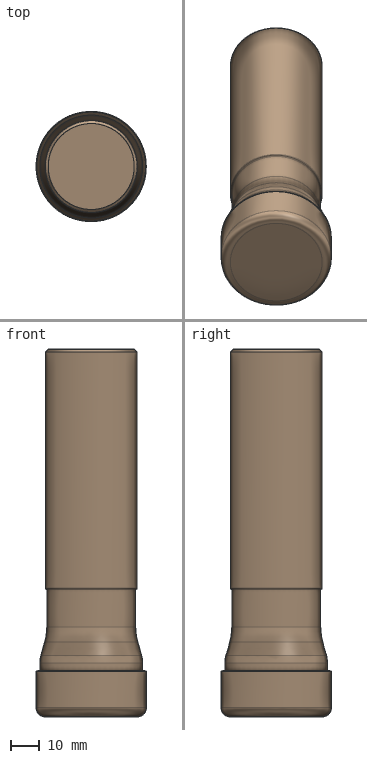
import cadquery as cq
import math

TOTAL_HEIGHT = 127.0

FOOT_RADIUS = 19.0
FOOT_FLOOR = 3.2
FOOT_BOTTOM_FILLET = 3.2
FOOT_SIDE_HEIGHT = 15.6
RIM_BEVEL = 0.3
RIM_RISE = 0.1

COLLAR_RADIUS = 17.8
COLLAR_TOP = 18.5
NECK_RADIUS = 15.4
NECK_BOTTOM = 31.1
FLARE_ANGLE = math.radians(15.7)
COLLAR_BLEND_RADIUS = 9.5

FLARE_HEIGHT = NECK_BOTTOM - COLLAR_TOP
FLARE_WIDTH = COLLAR_RADIUS - NECK_RADIUS
BLEND_RADIUS_SUM = (FLARE_HEIGHT * math.tan(FLARE_ANGLE) - FLARE_WIDTH) / (1 / math.cos(FLARE_ANGLE) - 1)
NECK_BLEND_RADIUS = BLEND_RADIUS_SUM - COLLAR_BLEND_RADIUS

GRIP_RADIUS = 15.9
SHOULDER_Z = 44.2
SHOULDER_BLEND = (GRIP_RADIUS - NECK_RADIUS) / 2
GRIP_TOP_CHAMFER = 1.0


def collar_blend(angle):
    """Point on the convex arc above the collar, after turning inwards by `angle`."""
    radius = COLLAR_RADIUS - COLLAR_BLEND_RADIUS * (1 - math.cos(angle))
    z = COLLAR_TOP + COLLAR_BLEND_RADIUS * math.sin(angle)
    return radius, z


def neck_blend(angle):
    """Point on the concave arc below the neck, where the slope equals `angle`."""
    radius = NECK_RADIUS + NECK_BLEND_RADIUS * (1 - math.cos(angle))
    z = NECK_BOTTOM - NECK_BLEND_RADIUS * math.sin(angle)
    return radius, z


def make_handle():
    """Turned handle: plug inside the foot, collar, flare, neck and grip."""
    return (
        cq.Workplane("XZ")
        .moveTo(0, FOOT_FLOOR)
        .lineTo(COLLAR_RADIUS, FOOT_FLOOR)
        .lineTo(COLLAR_RADIUS, COLLAR_TOP)
        .threePointArc(collar_blend(FLARE_ANGLE / 2), collar_blend(FLARE_ANGLE))
        .lineTo(*neck_blend(FLARE_ANGLE))
        .threePointArc(neck_blend(FLARE_ANGLE / 2), (NECK_RADIUS, NECK_BOTTOM))
        .lineTo(NECK_RADIUS, SHOULDER_Z - SHOULDER_BLEND)
        .tangentArcPoint((SHOULDER_BLEND, SHOULDER_BLEND))
        .tangentArcPoint((SHOULDER_BLEND, SHOULDER_BLEND))
        .lineTo(GRIP_RADIUS, TOTAL_HEIGHT)
        .lineTo(0, TOTAL_HEIGHT)
        .close()
        .revolve(360, (0, 0, 0), (0, 1, 0))
        .faces(">Z").edges().chamfer(GRIP_TOP_CHAMFER)
    )


def make_foot():
    """Cup that holds the bottom of the handle."""
    rim_z = FOOT_SIDE_HEIGHT + RIM_BEVEL
    return (
        cq.Workplane("XZ")
        .lineTo(FOOT_RADIUS, 0)
        .lineTo(FOOT_RADIUS, FOOT_SIDE_HEIGHT)
        .lineTo(FOOT_RADIUS - RIM_BEVEL, rim_z)
        .lineTo(COLLAR_RADIUS, rim_z + RIM_RISE)
        .lineTo(COLLAR_RADIUS, FOOT_FLOOR)
        .lineTo(0, FOOT_FLOOR)
        .close()
        .revolve(360, (0, 0, 0), (0, 1, 0))
        .faces("<Z").edges().fillet(FOOT_BOTTOM_FILLET)
    )


handle = make_handle()
foot = make_foot()

result = cq.Compound.makeCompound([handle.val(), foot.val()])